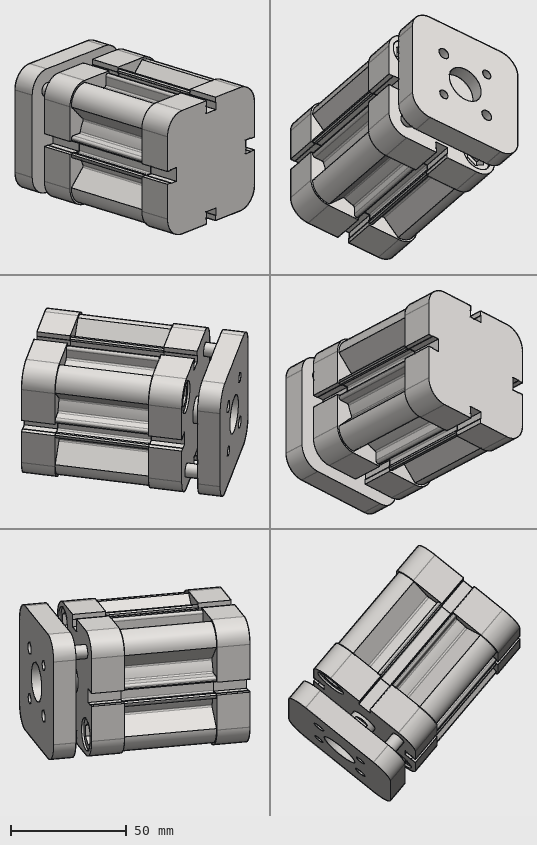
import cadquery as cq
import math

PLATE_THICKNESS = 10.0
PLATE_GAP = 7.0
CAP_LENGTH = 14.8
BARREL_LENGTH = 41.4
FRONT_CAP_X = PLATE_THICKNESS + PLATE_GAP
BARREL_X = FRONT_CAP_X + CAP_LENGTH
REAR_CAP_X = BARREL_X + BARREL_LENGTH

SIDE = 57.0
CORNER_RADIUS = 9.5
CORNER_CENTER = SIDE / 2 - CORNER_RADIUS

BORE_DIAMETER = 17.2
BORE_DEPTH = 6.0
HOLE_OFFSET = 11.6
DOWEL_DIAMETER = 5.2
THREAD_DIAMETER = 4.4

GUIDE_DIAMETER = 6.2
PISTON_DIAMETER = 12.0
PISTON_END_CHAMFER = 0.25
FLATS_WIDTH = 10.2
FLATS_LENGTH = 5.1
FLATS_RUNOUT = 0.4

TUBE_RADIUS = 22.5
COLUMN_RADIUS = 8.6
COLUMN_HALF_WIDTH = 6.33
LIP_HALF_WIDTH = 5.1
LIP_TOP = CORNER_CENTER + COLUMN_RADIUS
LIP_FILLET = 1.2
ROOT_FILLET = 0.8

CAP_MOUTH_WIDTH = 5.9
CAP_SLOT_WIDTH = 6.3
CAP_SLOT_STEP = 26.1
CAP_SLOT_FLOOR = 22.7
BARREL_MOUTH_WIDTH = 5.3
BARREL_MOUTH_CHAMFER = 0.65
BARREL_SLOT_WIDTH = 6.9
BARREL_SLOT_STEP = 26.0
BARREL_SLOT_FLOOR = 22.4
BARREL_SLOT_FILLET = 0.6

RECESS_DIAMETER = 14.4
RECESS_DEPTH = 1.0
SOCKET_ACROSS_FLATS = 8.7
SOCKET_DEPTH = 5.0

QUARTER_TURNS = (0, 90, 180, 270)


def yz_plane(x):
    """Section plane at station x: local x is +Y, local y is +Z, extrusion runs along +X."""
    return cq.Workplane("YZ", origin=(x, 0, 0))


def rounded_square(x, length):
    """Square block with rounded corners, as used for the plate and both caps."""
    block = yz_plane(x).rect(SIDE, SIDE).extrude(length)
    return block.edges("|X").fillet(CORNER_RADIUS)


def about_axis(shape, angle):
    return shape.rotate((0, 0, 0), (1, 0, 0), angle)


def mirrored_prism(x, half_outline, length):
    """Prism whose section is the given right half outline completed by its mirror image."""
    mirrored = [(-y, z) for y, z in reversed(half_outline)]
    return yz_plane(x).polyline(half_outline + mirrored).close().extrude(length)


def make_plate():
    plate = rounded_square(0, PLATE_THICKNESS)
    plate = plate.cut(yz_plane(0).circle(BORE_DIAMETER / 2).extrude(BORE_DEPTH))
    for diameter, mirror in ((DOWEL_DIAMETER, 1), (THREAD_DIAMETER, -1)):
        centers = [(HOLE_OFFSET, mirror * HOLE_OFFSET), (-HOLE_OFFSET, -mirror * HOLE_OFFSET)]
        holes = yz_plane(0).pushPoints(centers).circle(diameter / 2).extrude(PLATE_THICKNESS)
        plate = plate.cut(holes)
    return plate.solids()


def make_guide_rod(y, z):
    return yz_plane(PLATE_THICKNESS).center(y, z).circle(GUIDE_DIAMETER / 2).extrude(PLATE_GAP)


def make_piston_rod():
    rod = yz_plane(PLATE_THICKNESS).circle(PISTON_DIAMETER / 2).extrude(PLATE_GAP)
    rod = rod.faces("<X").chamfer(PISTON_END_CHAMFER)
    flat_z = FLATS_WIDTH / 2
    rim_z = PISTON_DIAMETER / 2
    flat_end_x = PLATE_THICKNESS + FLATS_LENGTH
    flat_cut = (
        cq.Workplane("XZ")
        .moveTo(PLATE_THICKNESS, flat_z)
        .lineTo(flat_end_x, flat_z)
        .lineTo(flat_end_x + FLATS_RUNOUT, rim_z)
        .lineTo(PLATE_THICKNESS, rim_z)
        .close()
        .extrude(PISTON_DIAMETER / 2, both=True)
    )
    return rod.cut(flat_cut).cut(about_axis(flat_cut, 180)).solids()


def make_column():
    """Round-ended rib reaching from the axis along local +Y; it is turned onto a diagonal."""
    round_center = CORNER_CENTER * math.sqrt(2)
    arc_start = round_center + math.sqrt(COLUMN_RADIUS**2 - COLUMN_HALF_WIDTH**2)
    return (
        yz_plane(BARREL_X)
        .moveTo(0, -COLUMN_HALF_WIDTH)
        .lineTo(arc_start, -COLUMN_HALF_WIDTH)
        .threePointArc((round_center + COLUMN_RADIUS, 0), (arc_start, COLUMN_HALF_WIDTH))
        .lineTo(0, COLUMN_HALF_WIDTH)
        .close()
        .extrude(BARREL_LENGTH)
    )


def make_lip():
    """Raised rail on the +Z side that carries the slot."""
    lip = (
        yz_plane(BARREL_X)
        .center(0, LIP_TOP / 2)
        .rect(2 * LIP_HALF_WIDTH, LIP_TOP)
        .extrude(BARREL_LENGTH)
    )
    return lip.faces(">Z").edges("|X").fillet(LIP_FILLET)


def is_root_edge(edge):
    center = edge.Center()
    return math.isclose(math.hypot(center.y, center.z), TUBE_RADIUS, abs_tol=1e-3)


def make_barrel():
    barrel = yz_plane(BARREL_X).circle(TUBE_RADIUS).extrude(BARREL_LENGTH)
    for angle in QUARTER_TURNS:
        barrel = barrel.union(about_axis(make_column(), angle + 45))
        barrel = barrel.union(about_axis(make_lip(), angle))
    root_edges = [edge for edge in barrel.edges("|X").vals() if is_root_edge(edge)]
    return barrel.newObject(root_edges).fillet(ROOT_FILLET)


def make_cap_slot():
    """Slot on the +Z side of the front cap, slightly wider below its mouth."""
    half_outline = [
        (CAP_SLOT_WIDTH / 2, CAP_SLOT_FLOOR),
        (CAP_SLOT_WIDTH / 2, CAP_SLOT_STEP),
        (CAP_MOUTH_WIDTH / 2, CAP_SLOT_STEP),
        (CAP_MOUTH_WIDTH / 2, SIDE / 2),
    ]
    return mirrored_prism(FRONT_CAP_X, half_outline, CAP_LENGTH)


def make_barrel_slot():
    """Slot on the +Z side of the barrel, with a round-cornered floor and a chamfered mouth."""
    half_mouth = BARREL_MOUTH_WIDTH / 2
    half_outline = [
        (BARREL_SLOT_WIDTH / 2, BARREL_SLOT_FLOOR),
        (BARREL_SLOT_WIDTH / 2, BARREL_SLOT_STEP),
        (half_mouth, BARREL_SLOT_STEP),
        (half_mouth, LIP_TOP - BARREL_MOUTH_CHAMFER),
        (half_mouth + BARREL_MOUTH_CHAMFER, LIP_TOP),
    ]
    slot = mirrored_prism(BARREL_X, half_outline, BARREL_LENGTH)
    return slot.faces("<Z").edges("|X").fillet(BARREL_SLOT_FILLET)


def make_screw_recess(y, z):
    """Shallow round recess with a hexagon socket below it; two socket flats face +Y and -Y."""
    recess = yz_plane(FRONT_CAP_X).center(y, z).circle(RECESS_DIAMETER / 2).extrude(RECESS_DEPTH)
    corner_diameter = SOCKET_ACROSS_FLATS / math.cos(math.pi / 6)
    socket = (
        yz_plane(FRONT_CAP_X)
        .center(y, z)
        .transformed(rotate=(0, 0, 90))
        .polygon(6, corner_diameter)
        .extrude(RECESS_DEPTH + SOCKET_DEPTH)
    )
    return recess.union(socket)


def make_housing():
    housing = make_barrel()
    for x in (FRONT_CAP_X, REAR_CAP_X):
        housing = housing.union(rounded_square(x, CAP_LENGTH))
    cap_slot = make_cap_slot()
    rear_cap_slot = cap_slot.translate((REAR_CAP_X - FRONT_CAP_X, 0, 0))
    for slot in (cap_slot, make_barrel_slot(), rear_cap_slot):
        for angle in QUARTER_TURNS:
            housing = housing.cut(about_axis(slot, angle))
    for side in (1, -1):
        housing = housing.cut(make_screw_recess(side * CORNER_CENTER, side * CORNER_CENTER))
    return housing.solids()


plate = make_plate()
piston_rod = make_piston_rod()
guide_rods = [make_guide_rod(side * CORNER_CENTER, -side * CORNER_CENTER) for side in (1, -1)]
housing = make_housing()

result = cq.Compound.makeCompound(
    [plate.val(), piston_rod.val(), *[rod.val() for rod in guide_rods], housing.val()]
)